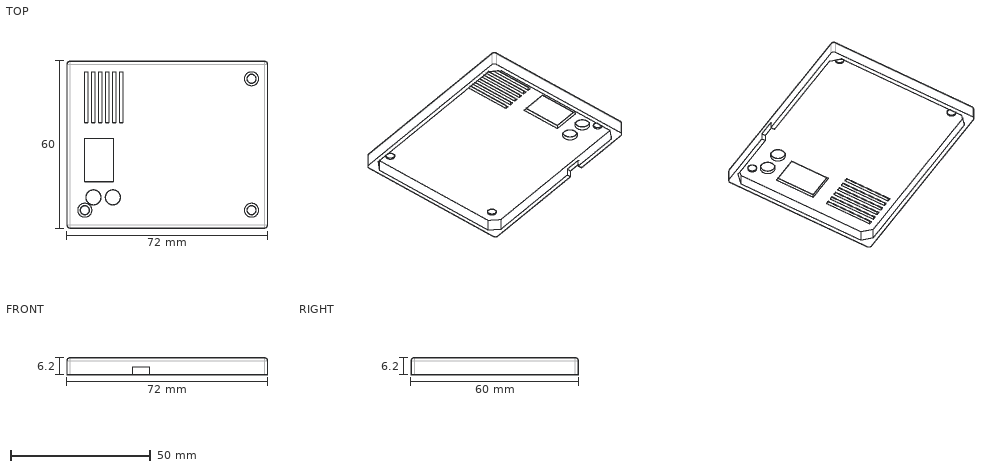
import cadquery as cq

LENGTH = 72.0
WIDTH = 60.0
HEIGHT = 6.2
EDGE_RADIUS = 1.15
WALL = 1.5
PLATE = 1.5
CAVITY_CORNER = 3.25

SLOT_COUNT = 6
SLOT_PITCH = 2.5
SLOT_WIDTH = 1.15
SLOT_LENGTH = 18.15
SLOT_TOP_MARGIN = 3.95

OPENING_LEFT = 6.3
WINDOW_WIDTH = 10.4
WINDOW_LENGTH = 15.4
WINDOW_BOTTOM = 16.8

BUTTON_DIAMETER = 5.3
BUTTON_FIRST_X = 9.5
BUTTON_PITCH = 7.0
BUTTON_Y = 11.1

SCREW_LEFT_X = 6.4
SCREW_FRONT_Y = 6.5
SCREW_SPAN_X = 59.8
SCREW_SPAN_Y = 47.15
SCREW_DIAMETER = 3.2
SCREW_HEAD_DIAMETER = 5.05
COUNTERSINK_ANGLE = 90.0

NOTCH_LEFT = 23.5
NOTCH_WIDTH = 6.2
NOTCH_HEIGHT = 2.8


def corner_box(length, width, height, x, y, z):
    """Box with its lowest corner at (x, y, z)."""
    return cq.Workplane("XY").box(length, width, height, centered=False).translate((x, y, z))


def make_shell():
    """Rounded cover hollowed out from below, with bevelled inside corners."""
    body = corner_box(LENGTH, WIDTH, HEIGHT, 0, 0, 0)
    body = body.edges("|Z or >Z").fillet(EDGE_RADIUS)
    cavity = corner_box(LENGTH - 2 * WALL, WIDTH - 2 * WALL, HEIGHT - PLATE, WALL, WALL, 0)
    return body.cut(cavity.edges("|Z").chamfer(CAVITY_CORNER))


def cut_vents(body):
    slot_bottom = WIDTH - SLOT_TOP_MARGIN - SLOT_LENGTH
    for index in range(SLOT_COUNT):
        slot_left = OPENING_LEFT + index * SLOT_PITCH
        body = body.cut(corner_box(SLOT_WIDTH, SLOT_LENGTH, HEIGHT, slot_left, slot_bottom, 0))
    return body


def cut_window(body):
    return body.cut(corner_box(WINDOW_WIDTH, WINDOW_LENGTH, HEIGHT, OPENING_LEFT, WINDOW_BOTTOM, 0))


def top_points(body, points):
    """Workplane on the top face, measured from the origin, holding the given points."""
    return body.faces(">Z").workplane(origin=(0, 0, HEIGHT)).pushPoints(points)


def cut_buttons(body):
    centres = [(BUTTON_FIRST_X, BUTTON_Y), (BUTTON_FIRST_X + BUTTON_PITCH, BUTTON_Y)]
    return top_points(body, centres).hole(BUTTON_DIAMETER)


def cut_screw_holes(body):
    right_x = SCREW_LEFT_X + SCREW_SPAN_X
    back_y = SCREW_FRONT_Y + SCREW_SPAN_Y
    centres = [(SCREW_LEFT_X, SCREW_FRONT_Y), (right_x, SCREW_FRONT_Y), (right_x, back_y)]
    return top_points(body, centres).cskHole(SCREW_DIAMETER, SCREW_HEAD_DIAMETER, COUNTERSINK_ANGLE)


def cut_notch(body):
    return body.cut(corner_box(NOTCH_WIDTH, WALL, NOTCH_HEIGHT, NOTCH_LEFT, 0, 0))


result = make_shell()
result = cut_vents(result)
result = cut_window(result)
result = cut_buttons(result)
result = cut_screw_holes(result)
result = cut_notch(result)